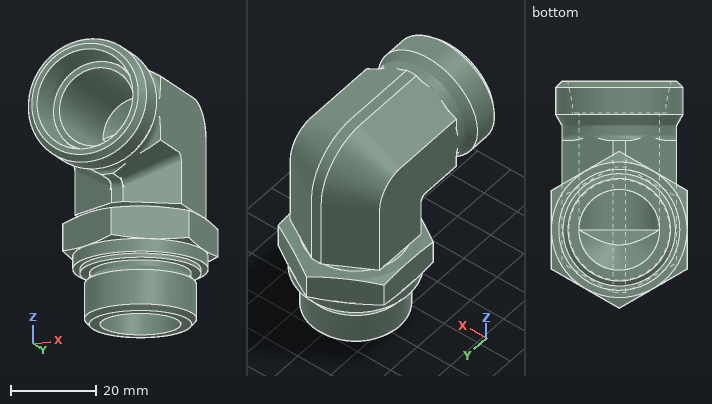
import cadquery as cq
import math


BLOCK_FLATS = 27.0
BLOCK_RIDGE_HALF = 14.75
BLOCK_STUD_END = 20.0
BLOCK_PORT_END = 21.0
CROTCH_RADIUS = 2.0

BORE_DIA = 19.0
DRILL_POINT_ANGLE = 118.0

PORT_LENGTH = 35.0
PORT_THREAD_DIA = 30.0
PORT_NECK_DIA = 27.0
PORT_SHOULDER_RADIUS = 1.1
PORT_THREAD_LENGTH = 7.9
PORT_RUNOUT_ANGLE = 30.0
PORT_RUNOUT_RADIUS = 1.0
TUBE_DIA = 22.0
TUBE_DEPTH = 7.5
TUBE_CONE_DEPTH = 5.4
TUBE_CONE_ANGLE = 24.0

STUD_LENGTH = 46.0
STUD_THREAD_DIA = 26.44
STUD_NECK_DIA = 23.9
STUD_TIP_DIA = 24.12
STUD_TOP_DIA = 23.7
STUD_TOP_RADIUS = 0.5
STUD_TOP_END = 22.1
STUD_NECK_END = 35.0
STUD_RUNOUT_ANGLE = 45.0
STUD_RUNOUT_RADIUS = 0.3

NUT_FLATS = 32.0
NUT_TOP = 21.6
NUT_BOTTOM = 29.5
NUT_CHAMFER_ANGLE = 15.0

RING_DIA = 31.9
RING_HEIGHT = 3.1
RING_LIP_DIA = 28.5
RING_LIP_HEIGHT = 1.0

HEX_HALF_ANGLE = 30.0


def turned(outline):
    """Turn a closed outline about Z; its points are (radius, height) in the XZ plane."""
    return outline.close().revolve(360, (0, 0), (0, 1))


def to_port(solid):
    """Swing a solid from the stud axis (-Z) onto the port axis (-Y)."""
    return solid.rotate((0, 0, 0), (1, 0, 0), -90)


def tangent(angle):
    """Tangent of an angle in degrees."""
    return math.tan(math.radians(angle))


def hexagon_corner(flats):
    """Distance from the axis to a corner of a hexagon."""
    return flats / 2 / math.cos(math.radians(HEX_HALF_ANGLE))


def block_half_outline(plane):
    """Half of the block section, with the port or stud axis on its straight lower edge."""
    flat = BLOCK_FLATS / 2
    corner = hexagon_corner(BLOCK_FLATS)
    trim = (corner - BLOCK_RIDGE_HALF) / tangent(HEX_HALF_ANGLE)
    return cq.Workplane(plane).polyline([
        (-flat, 0),
        (-flat, corner / 2),
        (-trim, BLOCK_RIDGE_HALF),
        (trim, BLOCK_RIDGE_HALF),
        (flat, corner / 2),
        (flat, 0),
    ]).close()


def block_leg(length):
    """Straight leg of the block along -Z: a hexagon with its two ridges trimmed flat."""
    half = block_half_outline("XY").extrude(-length)
    return half.union(half.mirror("XZ"))


def port_end_envelope():
    """Round envelope along -Z that blends the block's port end into the neck."""
    neck_radius = PORT_NECK_DIA / 2
    fillet_end = BLOCK_PORT_END + PORT_SHOULDER_RADIUS
    return turned(
        cq.Workplane("XZ")
        .lineTo(BLOCK_FLATS, 0)
        .lineTo(BLOCK_FLATS, -BLOCK_PORT_END)
        .lineTo(neck_radius + PORT_SHOULDER_RADIUS, -BLOCK_PORT_END)
        .radiusArc((neck_radius, -fillet_end), -PORT_SHOULDER_RADIUS)
        .lineTo(0, -fillet_end)
    )


def elbow_block():
    """Two mitred legs, the rounded outer bend and the filleted inner corner."""
    stud_leg = block_leg(BLOCK_STUD_END)
    port_leg = to_port(block_leg(BLOCK_PORT_END + PORT_SHOULDER_RADIUS).intersect(port_end_envelope()))
    bend = block_half_outline("XZ").revolve(90, (0, 0), (-1, 0))
    mitre_zone = cq.selectors.BoxSelector(
        (-BLOCK_FLATS, -BLOCK_RIDGE_HALF - CROTCH_RADIUS / 2, -BLOCK_RIDGE_HALF - CROTCH_RADIUS / 2),
        (BLOCK_FLATS, -BLOCK_FLATS / 3, -BLOCK_FLATS / 3),
    )
    return stud_leg.union(port_leg).union(bend).clean().edges(mitre_zone).fillet(CROTCH_RADIUS)


def port_thread():
    """Neck, runout and threaded end of the tube port, built along -Z."""
    neck_radius = PORT_NECK_DIA / 2
    thread_radius = PORT_THREAD_DIA / 2
    thread_step = thread_radius - neck_radius
    thread_start = PORT_LENGTH - PORT_THREAD_LENGTH
    runout_start = thread_start - thread_step / tangent(PORT_RUNOUT_ANGLE)
    fillet_length = PORT_RUNOUT_RADIUS * tangent(PORT_RUNOUT_ANGLE / 2)
    runout_fillet_end = (
        neck_radius + fillet_length * math.sin(math.radians(PORT_RUNOUT_ANGLE)),
        -runout_start - fillet_length * math.cos(math.radians(PORT_RUNOUT_ANGLE)),
    )
    return turned(
        cq.Workplane("XZ")
        .moveTo(0, -BLOCK_PORT_END)
        .lineTo(neck_radius, -BLOCK_PORT_END)
        .lineTo(neck_radius, -runout_start + fillet_length)
        .radiusArc(runout_fillet_end, -PORT_RUNOUT_RADIUS)
        .lineTo(thread_radius, -thread_start)
        .lineTo(thread_radius, -PORT_LENGTH + thread_step)
        .lineTo(neck_radius, -PORT_LENGTH)
        .lineTo(0, -PORT_LENGTH)
    )


def stud():
    """Stud along -Z: neck below the block, nut thread, ring neck and lower thread, with 45 degree runouts."""
    top_radius = STUD_TOP_DIA / 2
    neck_radius = STUD_NECK_DIA / 2
    thread_radius = STUD_THREAD_DIA / 2
    top_step = thread_radius - top_radius
    thread_step = thread_radius - neck_radius
    fillet_length = STUD_RUNOUT_RADIUS * tangent(STUD_RUNOUT_ANGLE / 2)
    fillet_leg = fillet_length * math.cos(math.radians(STUD_RUNOUT_ANGLE))
    return turned(
        cq.Workplane("XZ")
        .moveTo(0, -BLOCK_STUD_END)
        .lineTo(top_radius + STUD_TOP_RADIUS, -BLOCK_STUD_END)
        .radiusArc((top_radius, -BLOCK_STUD_END - STUD_TOP_RADIUS), -STUD_TOP_RADIUS)
        .lineTo(top_radius, -STUD_TOP_END + fillet_length)
        .radiusArc((top_radius + fillet_leg, -STUD_TOP_END - fillet_leg), -STUD_RUNOUT_RADIUS)
        .lineTo(thread_radius, -STUD_TOP_END - top_step)
        .lineTo(thread_radius, -NUT_BOTTOM)
        .lineTo(neck_radius, -NUT_BOTTOM)
        .lineTo(neck_radius, -STUD_NECK_END + fillet_length)
        .radiusArc((neck_radius + fillet_leg, -STUD_NECK_END - fillet_leg), -STUD_RUNOUT_RADIUS)
        .lineTo(thread_radius, -STUD_NECK_END - thread_step)
        .lineTo(thread_radius, -STUD_LENGTH + thread_step)
        .lineTo(STUD_TIP_DIA / 2, -STUD_LENGTH)
        .lineTo(0, -STUD_LENGTH)
    )


def drilled_bore(length):
    """Blind bore along -Z whose drill point rises above the crossing of the axes."""
    bore_radius = BORE_DIA / 2
    return turned(
        cq.Workplane("XZ")
        .moveTo(0, bore_radius / tangent(DRILL_POINT_ANGLE / 2))
        .lineTo(bore_radius, 0)
        .lineTo(bore_radius, -length)
        .lineTo(0, -length)
    )


def tube_socket():
    """Tube seat and sealing cone of the port, built along -Z."""
    tube_radius = TUBE_DIA / 2
    mouth_radius = tube_radius + TUBE_CONE_DEPTH * tangent(TUBE_CONE_ANGLE / 2)
    return turned(
        cq.Workplane("XZ")
        .moveTo(0, -PORT_LENGTH + TUBE_DEPTH)
        .lineTo(tube_radius, -PORT_LENGTH + TUBE_DEPTH)
        .lineTo(tube_radius, -PORT_LENGTH + TUBE_CONE_DEPTH)
        .lineTo(mouth_radius, -PORT_LENGTH)
        .lineTo(0, -PORT_LENGTH)
    )


def make_elbow():
    """Block, port thread and stud in one piece, drilled through from both ends."""
    outside = elbow_block().union(to_port(port_thread())).union(stud())
    return (
        outside
        .cut(drilled_bore(STUD_LENGTH))
        .cut(to_port(drilled_bore(PORT_LENGTH)))
        .cut(to_port(tube_socket()))
    )


def make_lock_nut():
    """Hexagon nut on the stud's upper thread, chamfered at both ends."""
    flat = NUT_FLATS / 2
    corner = hexagon_corner(NUT_FLATS)
    chamfer_drop = (corner - flat) * tangent(NUT_CHAMFER_ANGLE)
    nut_height = NUT_BOTTOM - NUT_TOP
    hexagon = (
        cq.Workplane("XY", origin=(0, 0, -NUT_BOTTOM))
        .transformed(rotate=(0, 0, HEX_HALF_ANGLE))
        .polygon(6, 2 * corner)
        .extrude(nut_height)
    )
    chamfer_envelope = turned(
        cq.Workplane("XZ")
        .moveTo(0, -NUT_TOP)
        .lineTo(flat, -NUT_TOP)
        .lineTo(corner, -NUT_TOP - chamfer_drop)
        .lineTo(corner, -NUT_BOTTOM + chamfer_drop)
        .lineTo(flat, -NUT_BOTTOM)
        .lineTo(0, -NUT_BOTTOM)
    )
    bore = cq.Workplane("XY", origin=(0, 0, -NUT_BOTTOM)).circle(STUD_THREAD_DIA / 2).extrude(nut_height)
    return hexagon.intersect(chamfer_envelope).cut(bore)


def make_retaining_ring():
    """Round ring on the stud neck under the nut, with a smaller lip at its lower end."""
    bore_radius = STUD_NECK_DIA / 2
    step = NUT_BOTTOM + RING_HEIGHT
    bottom = step + RING_LIP_HEIGHT
    return turned(
        cq.Workplane("XZ")
        .moveTo(bore_radius, -NUT_BOTTOM)
        .lineTo(RING_DIA / 2, -NUT_BOTTOM)
        .lineTo(RING_DIA / 2, -step)
        .lineTo(RING_LIP_DIA / 2, -step)
        .lineTo(RING_LIP_DIA / 2, -bottom)
        .lineTo(bore_radius, -bottom)
    )


elbow = make_elbow()
lock_nut = make_lock_nut()
retaining_ring = make_retaining_ring()

result = cq.Compound.makeCompound([elbow.val(), lock_nut.val(), retaining_ring.val()])